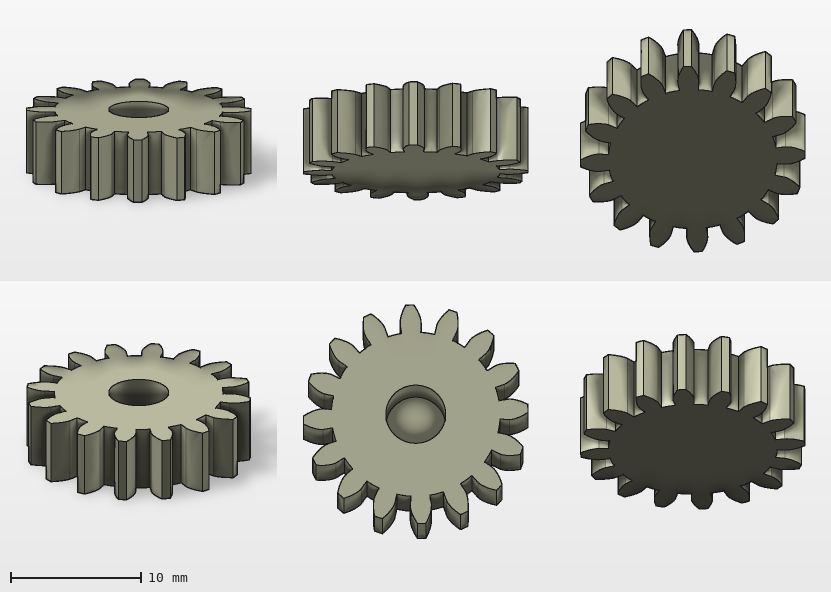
import cadquery as cq
import math

tooth_count = 16
outer_diameter = 17.28
thickness = 5.0
hole_diameter = 4.6
floor_thickness = 1.0
pressure_angle = math.radians(20)

module = outer_diameter / (tooth_count + 2)
dedendum = 1.25 * module
tip_radius = outer_diameter / 2
pitch_radius = tip_radius - module
root_radius = pitch_radius - dedendum
base_radius = pitch_radius * math.cos(pressure_angle)

tooth_pitch = 2 * math.pi / tooth_count
pitch_half_angle = tooth_pitch / 4

flank_points = 6


def involute(angle):
    """Involute function of a pressure angle."""
    return math.tan(angle) - angle


def polar_point(radius, angle):
    return (radius * math.cos(angle), radius * math.sin(angle))


def half_angle(radius):
    """Half of the angle that a tooth spans at a radius on its involute flank."""
    local_pressure_angle = math.acos(base_radius / radius)
    return pitch_half_angle + involute(pressure_angle) - involute(local_pressure_angle)


def gear_outline():
    """Closed outline, running counterclockwise tooth by tooth.

    The flanks are involutes above the base circle and radial lines below it.
    """
    flank_step = (tip_radius - base_radius) / (flank_points - 1)
    flank_radii = [base_radius + i * flank_step for i in range(flank_points - 1)] + [tip_radius]
    base_half_angle = half_angle(base_radius)
    tip_half_angle = half_angle(tip_radius)

    outline = cq.Workplane("XY").moveTo(*polar_point(root_radius, -base_half_angle))
    for index in range(tooth_count):
        angle = index * tooth_pitch
        next_angle = angle + tooth_pitch
        rising_flank = [polar_point(r, angle - half_angle(r)) for r in flank_radii]
        falling_flank = [polar_point(r, angle + half_angle(r)) for r in reversed(flank_radii)]

        outline = outline.lineTo(*rising_flank[0])
        outline = outline.spline(rising_flank[1:], includeCurrent=True)
        outline = outline.threePointArc(
            polar_point(tip_radius, angle),
            polar_point(tip_radius, angle + tip_half_angle),
        )
        outline = outline.spline(falling_flank[1:], includeCurrent=True)
        outline = outline.lineTo(*polar_point(root_radius, angle + base_half_angle))
        outline = outline.threePointArc(
            polar_point(root_radius, angle + tooth_pitch / 2),
            polar_point(root_radius, next_angle - base_half_angle),
        )
    return outline.close()


def shaft_hole():
    """Blind hole that opens on the top face and leaves a flat floor."""
    return (
        cq.Workplane("XY")
        .workplane(offset=floor_thickness)
        .circle(hole_diameter / 2)
        .extrude(thickness - floor_thickness)
    )


result = gear_outline().extrude(thickness).cut(shaft_hole())